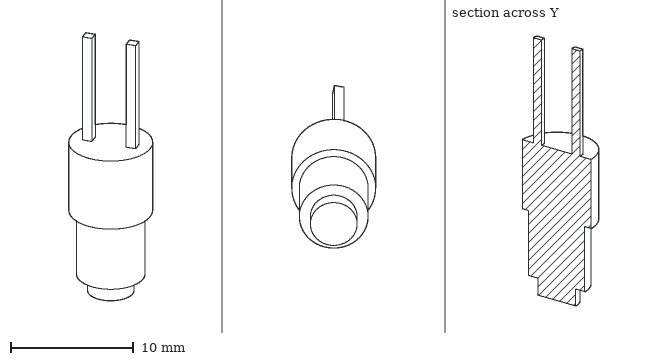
import cadquery as cq

total_height = 22.9
tip_height = 1.5
barrel_height = 5.8
head_height = 6.2
pin_length = total_height - tip_height - barrel_height - head_height

tip_diameter = 3.8
barrel_diameter = 5.6
head_diameter = 6.85

pin_width = 0.82
pin_spacing = 3.8


def stack_cylinder(body, diameter, height):
    """Add a coaxial cylinder on top of the body."""
    return body.faces(">Z").workplane().circle(diameter / 2).extrude(height)


body = cq.Workplane("XY").circle(tip_diameter / 2).extrude(tip_height)
body = stack_cylinder(body, barrel_diameter, barrel_height)
body = stack_cylinder(body, head_diameter, head_height)

result = (
    body.faces(">Z")
    .workplane()
    .pushPoints([(-pin_spacing / 2, 0), (pin_spacing / 2, 0)])
    .rect(pin_width, pin_width)
    .extrude(pin_length)
)